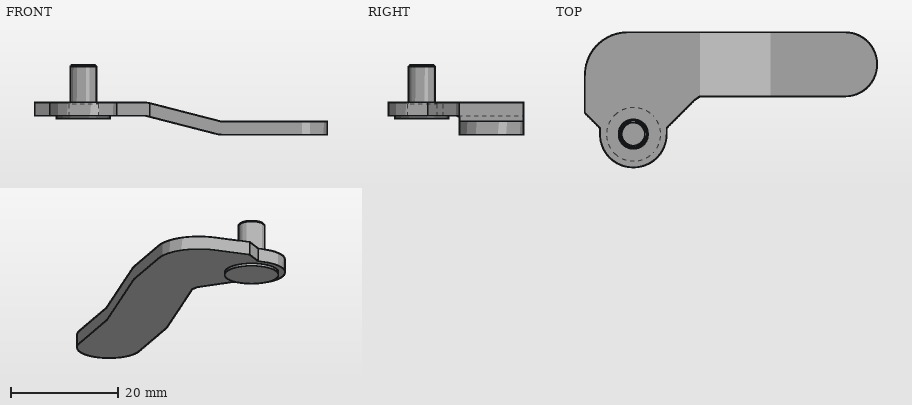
import cadquery as cq
import math

thickness = 2.5

lobe_radius = 12.5 / 2
lobe_straight = 1.15
left_x = -9.05
top_y = 25.25 - lobe_radius
corner_radius = 8.0
tip_x = left_x + 54.55
arm_width = 12.0
arm_radius = arm_width / 2
arm_y = top_y - arm_width

bend_angle = 14.4
first_bend_x = 11.45
second_bend_x = 25.7
first_inner_radius = 1.3
first_outer_radius = first_inner_radius + thickness
second_inner_radius = 0.25

pin_radius = 4.95 / 2
pin_height = 7.0
pin_chamfer = 0.3
collar_radius = 5.5 / 2
collar_chamfer = collar_radius - pin_radius
head_radius = 5.0
head_thickness = 0.5


def lever_outline():
    """Plan outline of the lever, with 45 degree shoulders beside the lobe.

    The right shoulder flattens across the first bend to meet the arm.
    """
    left_shoulder = -lobe_radius - left_x
    right_shoulder = first_bend_x - lobe_radius
    first_bend_end_x = first_bend_x + first_outer_radius * math.sin(math.radians(bend_angle))
    corner_offset = corner_radius * math.sqrt(0.5)
    corner_mid = (left_x + corner_radius - corner_offset, top_y - corner_radius + corner_offset)
    return (
        cq.Workplane("XY")
        .moveTo(-lobe_radius, 0)
        .threePointArc((0, -lobe_radius), (lobe_radius, 0))
        .lineTo(lobe_radius, lobe_straight)
        .lineTo(first_bend_x, lobe_straight + right_shoulder)
        .lineTo(first_bend_end_x, arm_y)
        .lineTo(tip_x - arm_radius, arm_y)
        .threePointArc((tip_x, arm_y + arm_radius), (tip_x - arm_radius, top_y))
        .lineTo(left_x + corner_radius, top_y)
        .threePointArc(corner_mid, (left_x, top_y - corner_radius))
        .lineTo(left_x, lobe_straight + left_shoulder)
        .lineTo(-lobe_radius, lobe_straight)
        .close()
    )


def bent_strip():
    """Bent strip of constant thickness, as wide in Y as the whole lever."""
    angle = math.radians(bend_angle)
    second_outer_radius = second_inner_radius + thickness
    radius_sum = first_outer_radius + second_inner_radius
    run = second_bend_x - first_bend_x
    drop = run * math.tan(angle) - radius_sum * (1 / math.cos(angle) - 1)
    first_center_z = -first_inner_radius
    second_center_z = thickness - drop + second_inner_radius

    def first_bend(radius, turn):
        return (first_bend_x + radius * math.sin(turn), first_center_z + radius * math.cos(turn))

    def second_bend(radius, turn):
        return (second_bend_x - radius * math.sin(turn), second_center_z - radius * math.cos(turn))

    return (
        cq.Workplane("XZ", origin=(0, top_y, 0))
        .moveTo(left_x, thickness)
        .lineTo(first_bend_x, thickness)
        .threePointArc(first_bend(first_outer_radius, angle / 2), first_bend(first_outer_radius, angle))
        .lineTo(*second_bend(second_inner_radius, angle))
        .threePointArc(second_bend(second_inner_radius, angle / 2), second_bend(second_inner_radius, 0))
        .lineTo(tip_x, thickness - drop)
        .lineTo(tip_x, -drop)
        .lineTo(second_bend_x, -drop)
        .threePointArc(second_bend(second_outer_radius, angle / 2), second_bend(second_outer_radius, angle))
        .lineTo(*first_bend(first_inner_radius, angle))
        .threePointArc(first_bend(first_inner_radius, angle / 2), first_bend(first_inner_radius, 0))
        .lineTo(left_x, 0)
        .close()
        .extrude(top_y + lobe_radius)
    )


def make_lever():
    """Bent strip trimmed to the plan outline, with a plain hole for the pin."""
    half_height = pin_height + thickness
    blank = lever_outline().extrude(half_height, both=True)
    hole = cq.Workplane("XY").circle(collar_radius).extrude(thickness)
    return bent_strip().intersect(blank).cut(hole)


def make_pin():
    """Turned pin: flat head, collar chamfered down to the shank, chamfered tip."""
    pin_top = thickness + pin_height
    return (
        cq.Workplane("XZ")
        .moveTo(0, -head_thickness)
        .lineTo(head_radius, -head_thickness)
        .lineTo(head_radius, 0)
        .lineTo(collar_radius, 0)
        .lineTo(collar_radius, thickness - collar_chamfer)
        .lineTo(pin_radius, thickness)
        .lineTo(pin_radius, pin_top - pin_chamfer)
        .lineTo(pin_radius - pin_chamfer, pin_top)
        .lineTo(0, pin_top)
        .close()
        .revolve(360, (0, 0, 0), (0, 1, 0))
    )


lever = make_lever()
pin = make_pin()
result = cq.Compound.makeCompound([lever.val(), pin.val()])